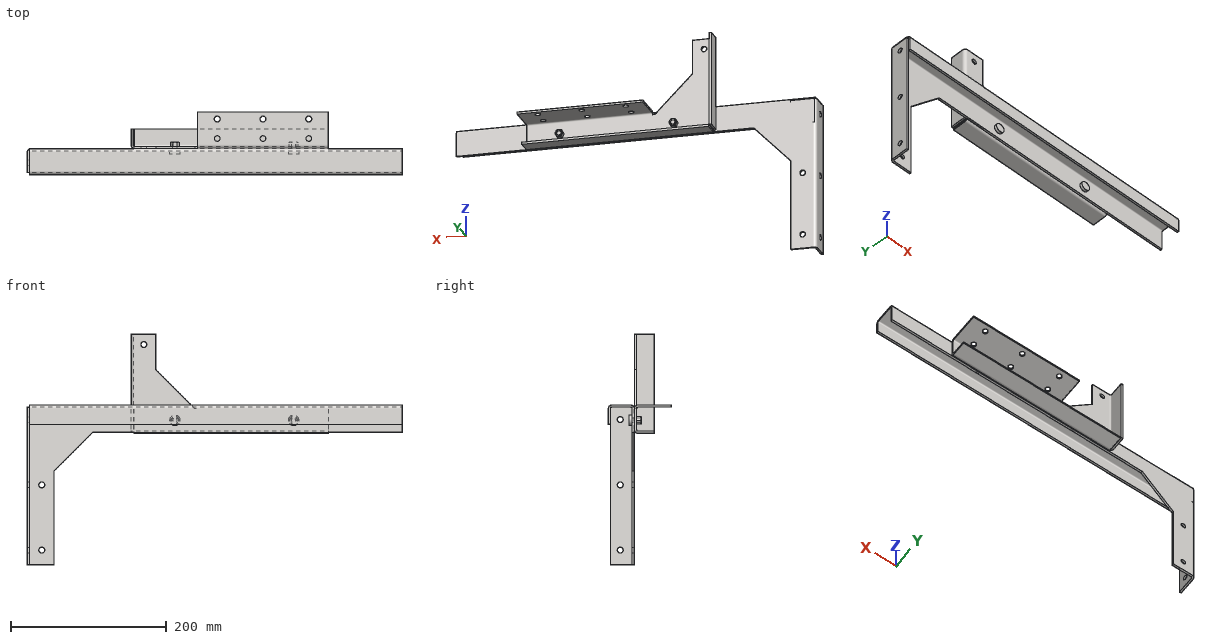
import cadquery as cq


sheet = 3.0
inside_bend = 2.0
bend = sheet + inside_bend

rail_length = 482.5
front_depth = 34.0
lip_height = 25.0
front_web_height = 35.0
leg_width = 34.7
leg_bottom = -205.5
front_gusset = 49.5
end_flange_depth = front_depth - sheet

rear_left = 133.5
rear_right = 387.5
rear_depth = 47.5
rear_flange_depth = 25.5
fold_relief = 1.0
bottom_flange_left = rear_left + sheet + fold_relief
rear_bottom = -36.5
post_top = 91.0
post_width = 32.0
post_shoulder = 45.5
plate_left = 219.0

hole_diameter = 7.0
end_hole_margin = 19.0
end_hole_y = -18.5
leg_hole_x = 19.0
post_hole_inset = 16.5
post_hole_x = rear_left + post_hole_inset
post_hole_z = 77.5
plate_hole_pitch = 59.0
plate_hole_rows = (13.0, 38.0)

bolt_places_x = (190.0, 342.5)
bolt_z = -20.0
shank_diameter = 6.0
nut_corners = 11.0
head_diameter = 13.5
head_height = 4.0
nut_chamfer = 1.0
nut_height = 6.0


def edge_nearest(point):
    return cq.selectors.NearestToPointSelector(point)


def round_fold(body, outer_point, inner_point):
    """Round the outer and the inner edge of a fold, each given by its middle point."""
    rounded = body.edges(edge_nearest(outer_point)).fillet(bend)
    return rounded.edges(edge_nearest(inner_point)).fillet(inside_bend)


def upright_angle(x_left, y_end, z_bottom, z_top, web_width):
    """Folded angle: a web along X on the plane Y = 0 and a flange along Y to y_end."""
    side = 1 if y_end > 0 else -1
    outline = [
        (x_left, 0),
        (x_left + web_width, 0),
        (x_left + web_width, side * sheet),
        (x_left + sheet, side * sheet),
        (x_left + sheet, y_end),
        (x_left, y_end),
    ]
    upright = cq.Workplane("XY", origin=(0, 0, z_bottom)).polyline(outline).close().extrude(z_top - z_bottom)
    middle = (z_bottom + z_top) / 2
    return round_fold(upright, (x_left, 0, middle), (x_left + sheet, side * sheet, middle))


def folded_strip(outline, x_start, x_end, folds):
    """Sheet section in the YZ plane run along X, with each (outer, inner) fold corner rounded."""
    strip = cq.Workplane("YZ", origin=(x_start, 0, 0)).polyline(outline).close().extrude(x_end - x_start)
    middle = (x_start + x_end) / 2
    for outer, inner in folds:
        strip = round_fold(strip, (middle, *outer), (middle, *inner))
    return strip


def web_plate(outline, y_start):
    """Flat plate of sheet thickness with an XZ outline, rising in +Y from y_start."""
    return cq.Workplane("XZ", origin=(0, y_start + sheet, 0)).polyline(outline).close().extrude(sheet)


def drill(body, plane, points, diameter):
    """Cut round holes through the sheet that lies along one of the main planes."""
    pins = cq.Workplane(plane).pushPoints(points).circle(diameter / 2)
    return body.cut(pins.extrude(2 * sheet, both=True))


def cut_bolt_holes(body):
    places = [(x, bolt_z) for x in bolt_places_x]
    return drill(body, "XZ", places, shank_diameter)


def make_front_bracket():
    web_face = -sheet
    lip_face = -front_depth
    rail_outline = [
        (0, 0),
        (lip_face, 0),
        (lip_face, -lip_height),
        (lip_face + sheet, -lip_height),
        (lip_face + sheet, -sheet),
        (web_face, -sheet),
        (web_face, -front_web_height),
        (0, -front_web_height),
    ]
    folds = [
        ((0, 0), (web_face, -sheet)),
        ((lip_face, 0), (lip_face + sheet, -sheet)),
    ]
    rail = folded_strip(rail_outline, sheet, rail_length, folds)

    leg = upright_angle(0, -end_flange_depth, leg_bottom, -sheet, leg_width)
    gusset = web_plate(
        [
            (leg_width, -front_web_height),
            (leg_width + front_gusset, -front_web_height),
            (leg_width, -front_web_height - front_gusset),
        ],
        -sheet,
    )
    bracket = rail.union(leg).union(gusset)

    top_hole = -end_hole_margin
    bottom_hole = leg_bottom + end_hole_margin
    middle_hole = (top_hole + bottom_hole) / 2
    flange_holes = [(end_hole_y, z) for z in (top_hole, middle_hole, bottom_hole)]
    leg_holes = [(leg_hole_x, z) for z in (middle_hole, bottom_hole)]
    bracket = drill(bracket, "YZ", flange_holes, hole_diameter)
    bracket = drill(bracket, "XZ", leg_holes, hole_diameter)
    return cut_bolt_holes(bracket)


def make_rear_bracket():
    post = upright_angle(rear_left, rear_flange_depth, rear_bottom + sheet, post_top, post_width)

    lower_outline = [
        (0, -bend),
        (0, rear_bottom),
        (rear_flange_depth, rear_bottom),
        (rear_flange_depth, rear_bottom + sheet),
        (sheet, rear_bottom + sheet),
        (sheet, -bend),
    ]
    lower_fold = [((0, rear_bottom), (sheet, rear_bottom + sheet))]
    lower = folded_strip(lower_outline, bottom_flange_left, rear_right, lower_fold)

    plate_outline = [
        (0, rear_bottom + bend),
        (0, 0),
        (rear_depth, 0),
        (rear_depth, -sheet),
        (sheet, -sheet),
        (sheet, rear_bottom + bend),
    ]
    plate = folded_strip(plate_outline, plate_left, rear_right, [((0, 0), (sheet, -sheet))])

    post_right = rear_left + post_width
    gusset_height = post_shoulder + bend
    gusset = web_plate(
        [
            (post_right, post_shoulder),
            (post_right + gusset_height, -bend),
            (post_right, -bend),
        ],
        0,
    )
    bracket = post.union(lower).union(plate).union(gusset)

    plate_middle = (plate_left + rear_right) / 2
    plate_holes = [
        (plate_middle + step * plate_hole_pitch, y) for step in (-1, 0, 1) for y in plate_hole_rows
    ]
    bracket = drill(bracket, "XZ", [(post_hole_x, post_hole_z)], hole_diameter)
    bracket = drill(bracket, "XY", plate_holes, hole_diameter)
    return cut_bolt_holes(bracket)


def make_bolt(x):
    """Round-head bolt with its head on the front web, reaching the rear face of the nut."""
    seat = cq.Workplane("XZ", origin=(x, -sheet, bolt_z))
    head = seat.circle(head_diameter / 2).extrude(head_height)
    shank = seat.circle(shank_diameter / 2).extrude(-(2 * sheet + nut_height))
    return head.union(shank)


def make_nut(x):
    """Hexagon nut against the back of the rear web, its outer corners chamfered."""
    seat = cq.Workplane("XZ", origin=(x, sheet, bolt_z))
    hexagon = seat.polygon(6, nut_corners).extrude(-nut_height)
    turned = seat.circle(nut_corners / 2).extrude(-nut_height).faces(">Y").chamfer(nut_chamfer)
    bore = seat.circle(shank_diameter / 2).extrude(-nut_height)
    return hexagon.intersect(turned).cut(bore)


front_bracket = make_front_bracket()
rear_bracket = make_rear_bracket()
bolts = [make_bolt(x) for x in bolt_places_x]
nuts = [make_nut(x) for x in bolt_places_x]

result = cq.Compound.makeCompound(
    [
        front_bracket.val(),
        rear_bracket.val(),
        *[bolt.val() for bolt in bolts],
        *[nut.val() for nut in nuts],
    ]
)